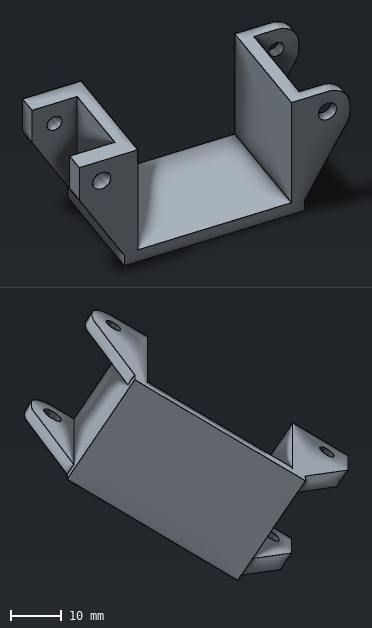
import cadquery as cq
import math

width = 25.0
length = 60.0
height = 28.0
wall = 3.0
base_length = 40.0

rear_cheek = 2.5
front_cheek = 4.2
taper_angle = 60.0
taper_start = 2.65
corner_radius = 5.0

left_hole_diameter = 3.3
right_hole_diameter = 4.0
hole_inset = 5.0

overhang = (length - base_length) / 2
taper_top = taper_start + overhang * math.tan(math.radians(taper_angle))


def make_channel():
    """U-shaped body with a floor and two end walls."""
    block = cq.Workplane("XY").box(width, base_length, height, centered=(True, True, False))
    cavity_length = base_length - 2 * wall
    cavity = cq.Workplane("XY").box(width, cavity_length, height, centered=(True, True, False))
    return block.cut(cavity.translate((0, 0, wall)))


def make_cheeks(end, thickness):
    """Pair of tapered cheeks at one end; end is +1 for +Y and -1 for -Y."""
    outer = end * length / 2
    wall_face = end * base_length / 2
    inside_wall = wall_face - end * wall
    profile = [
        (inside_wall, taper_start),
        (wall_face, taper_start),
        (outer, taper_top),
        (outer, height),
        (inside_wall, height),
    ]
    plate = cq.Workplane("YZ").polyline(profile).close().extrude(thickness)
    left = plate.translate((-width / 2, 0, 0))
    right = plate.translate((width / 2 - thickness, 0, 0))
    return left.union(right)


def round_rear_ends(cheeks):
    """Round the top and lower corners at the free end of the rear cheeks."""
    return cheeks.faces(">Y").edges("|X").fillet(corner_radius)


def make_holes(side, diameter):
    """Front and rear pivot holes on one side; side is -1 for -X and +1 for +X."""
    offset = length / 2 - hole_inset
    level = height - hole_inset
    pins = cq.Workplane("YZ").pushPoints([(-offset, level), (offset, level)])
    return pins.circle(diameter / 2).extrude(side * width / 2)


rear_cheeks = round_rear_ends(make_cheeks(1, rear_cheek))
front_cheeks = make_cheeks(-1, front_cheek)
body = make_channel().union(rear_cheeks).union(front_cheeks)

result = body.cut(make_holes(-1, left_hole_diameter)).cut(make_holes(1, right_hole_diameter))